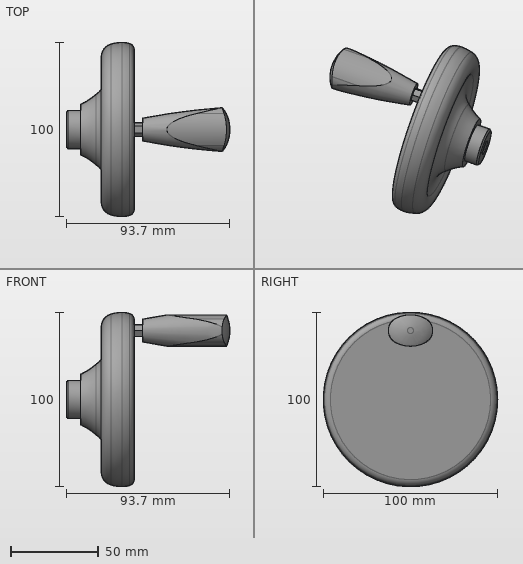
import cadquery as cq
import math

wheel_radius = 50.0
hub_radius = 11.0
hub_chamfer = 1.0
hub_length = 8.2
flare_start_radius = 14.5
flare_end_x = 17.0
flare_end_radius = 20.2
flare_bulge = 0.5
dish_end_x = 21.5
dish_end_radius = 36.9
dish_arc_radius = 13.3
rim_front_x = 20.0
rim_front_radius = 41.5
rim_shoulder_x = 25.5
rim_shoulder_radius = 49.0
rim_crest_x = 32.0
rim_back_edge_x = 36.3
rim_back_edge_radius = 49.3
back_x = 39.0
back_radius = 45.9

bore_radius = 3.3
bore_chamfer = 0.8
bore_depth = 16.0
drill_tip_angle = 118.0

handle_offset = 39.5
stem_across_corners = 8.0
grip_start_x = 43.8
grip_end_x = 93.7
grip_start_radius = 6.6
grip_middle_x = 61.6
grip_middle_radius = 9.6
grip_edge_x = 89.3
grip_edge_radius = 12.6
dome_middle_x = 91.7
dome_middle_radius = 9.1

oval_half_width = 12.7
oval_half_height = 9.0
oval_join_y = 9.2
oval_join_z = 6.5


def revolve_about_x(profile):
    return profile.close().revolve(360, (0, 0, 0), (1, 0, 0))


def make_bore():
    tip_length = bore_radius / math.tan(math.radians(drill_tip_angle / 2))
    return revolve_about_x(
        cq.Workplane("XY")
        .lineTo(0, bore_radius + bore_chamfer)
        .lineTo(bore_chamfer, bore_radius)
        .lineTo(bore_depth, bore_radius)
        .lineTo(bore_depth + tip_length, 0)
    )


def make_wheel():
    flare_middle = (
        (hub_length + flare_end_x) / 2,
        (flare_start_radius + flare_end_radius) / 2 - flare_bulge,
    )
    body = revolve_about_x(
        cq.Workplane("XY")
        .lineTo(0, hub_radius - hub_chamfer)
        .lineTo(hub_chamfer, hub_radius)
        .lineTo(hub_length, hub_radius)
        .lineTo(hub_length, flare_start_radius)
        .threePointArc(flare_middle, (flare_end_x, flare_end_radius))
        .radiusArc((dish_end_x, dish_end_radius), -dish_arc_radius)
        .threePointArc((rim_front_x, rim_front_radius), (rim_shoulder_x, rim_shoulder_radius))
        .tangentArcPoint((rim_crest_x, wheel_radius), relative=False)
        .tangentArcPoint((rim_back_edge_x, rim_back_edge_radius), relative=False)
        .tangentArcPoint((back_x, back_radius), relative=False)
        .lineTo(back_x, 0)
    )
    return body.cut(make_bore())


def make_grip():
    turned = revolve_about_x(
        cq.Workplane("XY")
        .moveTo(grip_start_x, 0)
        .lineTo(grip_start_x, grip_start_radius)
        .threePointArc((grip_middle_x, grip_middle_radius), (grip_edge_x, grip_edge_radius))
        .threePointArc((dome_middle_x, dome_middle_radius), (grip_end_x, 0))
    )
    oval_prism = (
        cq.Workplane("YZ", origin=(grip_start_x, 0, 0))
        .moveTo(-oval_join_y, oval_join_z)
        .threePointArc((0, oval_half_height), (oval_join_y, oval_join_z))
        .threePointArc((oval_half_width, 0), (oval_join_y, -oval_join_z))
        .threePointArc((0, -oval_half_height), (-oval_join_y, -oval_join_z))
        .threePointArc((-oval_half_width, 0), (-oval_join_y, oval_join_z))
        .close()
        .extrude(grip_end_x - grip_start_x)
    )
    return turned.intersect(oval_prism)


def make_handle():
    stem = (
        cq.Workplane("YZ", origin=(back_x, 0, 0))
        .polygon(6, stem_across_corners)
        .extrude(grip_start_x - back_x)
    )
    return make_grip().union(stem).translate((0, 0, handle_offset))


wheel = make_wheel()
handle = make_handle()

result = cq.Compound.makeCompound([*wheel.solids().vals(), *handle.solids().vals()])